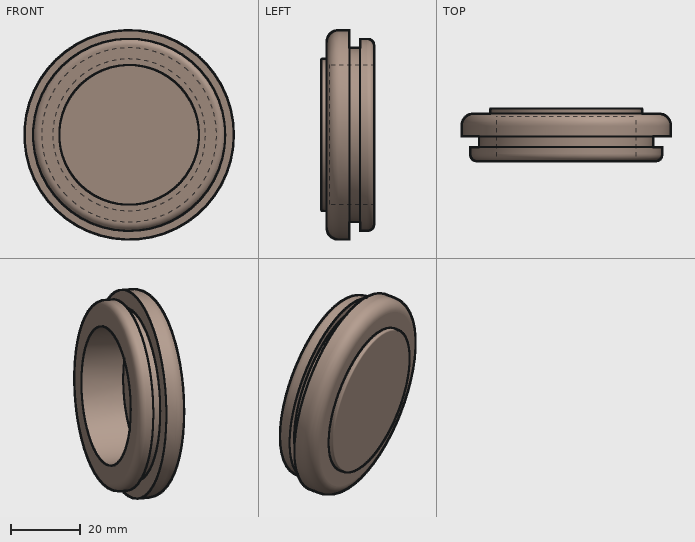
import cadquery as cq

total_depth = 15.2
lip_width = 4.1
groove_width = 3.05
boss_height = 1.5
flange_width = total_depth - lip_width - groove_width - boss_height
pocket_depth = 12.8

flange_diameter = 60.0
lip_diameter = 55.0
groove_diameter = 50.0
boss_diameter = 43.6
pocket_diameter = 40.0

lip_fillet = 2.0
flange_fillet = 3.5
boss_fillet = 0.5


def disc(diameter, start, length):
    """Disc about the Y axis, growing from start towards +Y."""
    plane = cq.Workplane("XZ", origin=(0, start, 0))
    return plane.circle(diameter / 2).extrude(-length)


groove_start = lip_width
flange_start = groove_start + groove_width
boss_start = flange_start + flange_width

lip = disc(lip_diameter, 0, lip_width).faces("<Y").edges().fillet(lip_fillet)
groove_core = disc(groove_diameter, groove_start, groove_width)
flange = disc(flange_diameter, flange_start, flange_width).faces(">Y").edges().fillet(flange_fillet)
boss = disc(boss_diameter, boss_start, boss_height).faces(">Y").edges().fillet(boss_fillet)
pocket = disc(pocket_diameter, 0, pocket_depth)

result = lip.union(groove_core).union(flange).union(boss).cut(pocket)